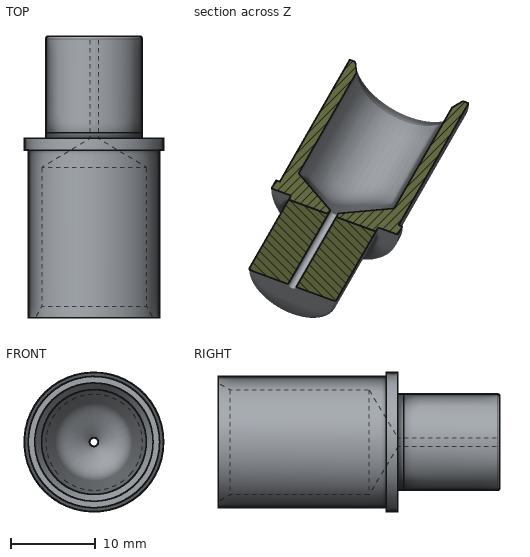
import cadquery as cq
import math

mouth_y = -16.62
tip_y = 16.62
neck_length = 0.65
flange_thickness = 1.4
tip_length = 11.37
joint_y = tip_y - tip_length
flange_back_y = joint_y - neck_length
flange_front_y = flange_back_y - flange_thickness

flange_diameter = 16.45
flange_radius = flange_diameter / 2
barrel_radius = 7.75
tip_radius = 5.7
tip_rounding = 0.3

mouth_radius = 6.98
bore_radius = 6.18
pinhole_radius = 0.5
flare_depth = 1.4
floor_angle = 118.0
cone_depth = (bore_radius - pinhole_radius) / math.tan(math.radians(floor_angle / 2))
cone_end_y = flange_back_y
cone_start_y = cone_end_y - cone_depth


def revolve_about_y(profile):
    """Turn a closed (radius, y) profile into a solid of revolution about Y."""
    return profile.close().revolve(360, (0, 0, 0), (0, 1, 0))


def make_housing():
    """Flanged barrel with a short neck, opened by a flared bore with a conical floor."""
    profile = (
        cq.Workplane("XY")
        .moveTo(mouth_radius, mouth_y)
        .lineTo(barrel_radius, mouth_y)
        .lineTo(barrel_radius, flange_front_y)
        .lineTo(flange_radius, flange_front_y)
        .lineTo(flange_radius, flange_back_y)
        .lineTo(tip_radius, flange_back_y)
        .lineTo(tip_radius, joint_y)
        .lineTo(pinhole_radius, joint_y)
        .lineTo(pinhole_radius, cone_end_y)
        .lineTo(bore_radius, cone_start_y)
        .lineTo(bore_radius, mouth_y + flare_depth)
    )
    return revolve_about_y(profile)


def make_tip():
    """Cylindrical tip behind the neck, pierced by the pinhole and rounded at its far rim."""
    profile = (
        cq.Workplane("XY")
        .moveTo(pinhole_radius, joint_y)
        .lineTo(tip_radius, joint_y)
        .lineTo(tip_radius, tip_y - tip_rounding)
        .radiusArc((tip_radius - tip_rounding, tip_y), -tip_rounding)
        .lineTo(pinhole_radius, tip_y)
    )
    return revolve_about_y(profile)


housing = make_housing()
tip = make_tip()
result = cq.Compound.makeCompound([housing.val(), tip.val()])